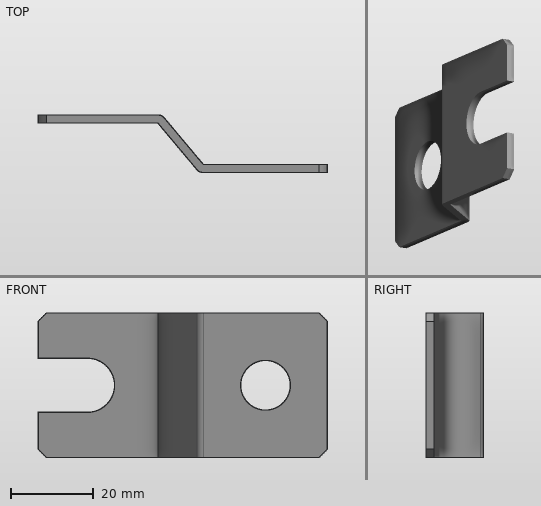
import cadquery as cq
import math

length = 70.0
depth = 14.0
height = 35.0
thickness = 2.0
corner_chamfer = 2.0

rear_bend_x = 29.0
front_bend_x = 40.0

slot_width = 13.0
slot_center_x = 12.0
hole_diameter = 12.0
hole_center_x = 55.0

mid_height = height / 2


def bent_sheet():
    """Z-bent sheet whose outside bends are arcs about the sharp inside corners."""
    rear_inside_y = depth - thickness
    front_inside_y = thickness
    run = front_bend_x - rear_bend_x
    drop = rear_inside_y - front_inside_y
    corner_line_angle = math.atan2(drop, run)
    web_angle = corner_line_angle + math.asin(thickness / math.hypot(run, drop))

    def around_bend(x, y, side, angle):
        """Point on the outside arc, turned by angle from the flat's normal."""
        return (
            x + side * thickness * math.sin(angle),
            y + side * thickness * math.cos(angle),
        )

    def rear_arc(angle):
        return around_bend(rear_bend_x, rear_inside_y, 1, angle)

    def front_arc(angle):
        return around_bend(front_bend_x, front_inside_y, -1, angle)

    return (
        cq.Workplane("XY")
        .moveTo(0, rear_inside_y)
        .lineTo(rear_bend_x, rear_inside_y)
        .lineTo(*front_arc(web_angle))
        .threePointArc(front_arc(web_angle / 2), front_arc(0))
        .lineTo(length, 0)
        .lineTo(length, front_inside_y)
        .lineTo(front_bend_x, front_inside_y)
        .lineTo(*rear_arc(web_angle))
        .threePointArc(rear_arc(web_angle / 2), rear_arc(0))
        .lineTo(0, depth)
        .close()
        .extrude(height)
    )


def through_cylinder(x, diameter):
    """Cylinder along Y through the full depth at mid height."""
    return (
        cq.Workplane("XZ")
        .center(x, mid_height)
        .circle(diameter / 2)
        .extrude(-depth)
    )


def open_slot():
    """Round-ended slot open to the left end."""
    mouth = cq.Workplane("XY").box(
        slot_center_x, depth, slot_width, centered=(False, False, True)
    )
    mouth = mouth.translate((0, 0, mid_height))
    return mouth.union(through_cylinder(slot_center_x, slot_width))


sheet = bent_sheet().edges("|Y").chamfer(corner_chamfer)
result = sheet.cut(open_slot()).cut(through_cylinder(hole_center_x, hole_diameter))